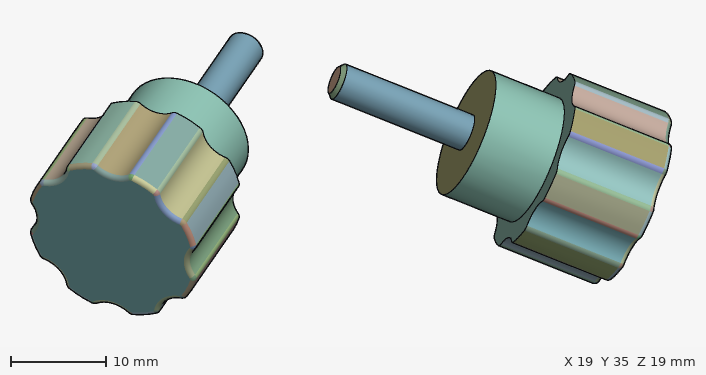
import cadquery as cq

total_length = 35.0
head_length = 11.5
collar_length = 8.0
stud_length = total_length - head_length - collar_length

head_radius = 9.8
scallop_count = 8
scallop_radius = 3.0
scallop_floor_radius = 8.8
ridge_round = 0.75
face_round = 0.5

collar_diameter = 14.0
stud_diameter = 4.0
stud_chamfer = 0.5


def disc(diameter, start, length):
    """Cylinder on the Y axis running from y = start towards +Y."""
    plane = cq.Workplane("XZ", origin=(0, start, 0))
    return plane.circle(diameter / 2).extrude(-length)


def make_head():
    """Grip with evenly spaced scallops, rounded ridges and a rounded front edge."""
    scallops = (
        cq.Workplane("XZ")
        .polarArray(scallop_floor_radius + scallop_radius, 0, 360, scallop_count)
        .circle(scallop_radius)
        .extrude(-head_length)
    )
    fluted = disc(2 * head_radius, 0, head_length).cut(scallops)
    rounded = fluted.edges("|Y").fillet(ridge_round)
    return rounded.faces("<Y").edges().fillet(face_round)


def make_stud():
    """Plain stud with a chamfered tip."""
    stud = disc(stud_diameter, head_length + collar_length, stud_length)
    return stud.faces(">Y").edges().chamfer(stud_chamfer)


collar = disc(collar_diameter, head_length, collar_length)
result = make_head().union(collar).union(make_stud())